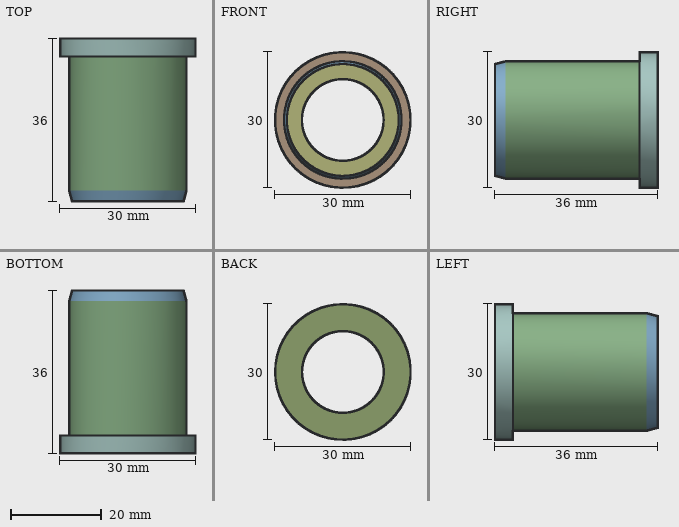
import cadquery as cq
import math

length = 36.0
flange_diameter = 30.0
flange_thickness = 4.0
body_diameter = 26.0
bore_diameter = 18.0

taper_length = 2.4
taper_angle = 15.0

flange_radius = flange_diameter / 2
body_radius = body_diameter / 2
bore_radius = bore_diameter / 2
tip_radius = body_radius - taper_length * math.tan(math.radians(taper_angle))
flange_start = length - flange_thickness

half_section = (
    cq.Workplane("XY")
    .moveTo(bore_radius, 0)
    .lineTo(tip_radius, 0)
    .lineTo(body_radius, taper_length)
    .lineTo(body_radius, flange_start)
    .lineTo(flange_radius, flange_start)
    .lineTo(flange_radius, length)
    .lineTo(bore_radius, length)
    .close()
)

result = half_section.revolve(360, (0, 0, 0), (0, 1, 0))